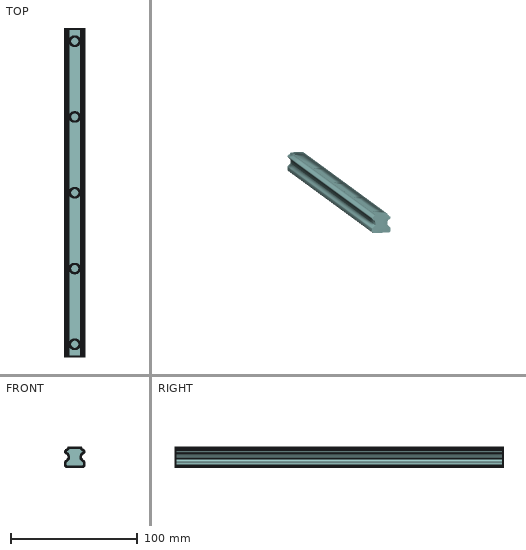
import cadquery as cq
import math

length = 260.0
width = 15.0
height = 15.0
half_width = width / 2

head_middle_z = 12.0
top_width = 10.1
track_outer_x = 6.5
nose_half_height = 0.4
nose_radius = 0.8
track_sag = 0.35

neck_width = 10.0
neck_height = 1.7
neck_top_z = 8.0
base_side_radius = 1.0
base_chamfer = 0.9

recess_count = 5
recess_pitch = 60.0
recess_diameter = 7.5
recess_depth = 0.3

top_half_width = top_width / 2

flank_run = half_width - track_outer_x
track_rise = nose_half_height + flank_run

neck_half_width = neck_width / 2
neck_bottom_z = neck_top_z - neck_height
base_side_z = neck_bottom_z - (half_width - neck_half_width)


def mirrored_in_head(point):
    """The same point on the other half of the head, below its middle height."""
    x, z = point
    return (x, 2 * head_middle_z - z)


def track_deepest_point(inner, outer):
    """Middle of the hollow upper ball track, sunk from its chord into the rail."""
    run = outer[0] - inner[0]
    drop = inner[1] - outer[1]
    chord = math.hypot(run, drop)
    return (
        (inner[0] + outer[0]) / 2 - track_sag * drop / chord,
        (inner[1] + outer[1]) / 2 - track_sag * run / chord,
    )


def right_half():
    """Right half of the rail, extruded over the full length with sharp side corners."""
    track_inner = (top_half_width, height)
    track_outer = (track_outer_x, head_middle_z + track_rise)
    track_middle = track_deepest_point(track_inner, track_outer)
    nose_top = (half_width, head_middle_z + nose_half_height)
    return (
        cq.Workplane("XZ")
        .moveTo(0, 0)
        .lineTo(half_width - base_chamfer, 0)
        .lineTo(half_width, base_chamfer)
        .lineTo(half_width, base_side_z)
        .lineTo(neck_half_width, neck_bottom_z)
        .lineTo(neck_half_width, neck_top_z)
        .lineTo(*mirrored_in_head(track_inner))
        .threePointArc(mirrored_in_head(track_middle), mirrored_in_head(track_outer))
        .lineTo(*mirrored_in_head(nose_top))
        .lineTo(*nose_top)
        .lineTo(*track_outer)
        .threePointArc(track_middle, track_inner)
        .lineTo(0, height)
        .close()
        .extrude(length / 2, both=True)
    )


def round_side_corner(body, z, radius):
    """Round the lengthwise edge at height z on the outermost side of the right half."""
    edge = cq.selectors.NearestToPointSelector((half_width, 0, z))
    return body.edges("|Y").edges(edge).fillet(radius)


def recesses():
    """Evenly spaced shallow discs to remove, level with the top face."""
    return (
        cq.Workplane("XY", origin=(0, 0, height - recess_depth))
        .rarray(2.5, recess_pitch, 1, recess_count)
        .circle(recess_diameter / 2)
        .extrude(recess_depth)
    )


half = right_half()
half = round_side_corner(half, head_middle_z + nose_half_height, nose_radius)
half = round_side_corner(half, head_middle_z - nose_half_height, nose_radius)
half = round_side_corner(half, base_side_z, base_side_radius)

rail = half.union(half.mirror("YZ")).clean()
result = rail.cut(recesses())